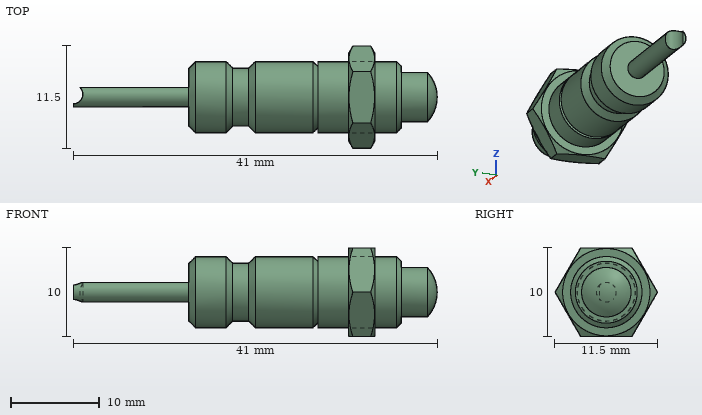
import cadquery as cq
import math

TOTAL_LENGTH = 41.0
HOUSING_START = 13.0
NECK_START = 17.2
NECK_END = 20.5
THREAD_START = 27.55
NUT_START = 31.0
HOUSING_END = 36.95
DOME_START = 39.9

HOUSING_RADIUS = 4.0
REAR_CHAMFER = 0.78
NECK_DEPTH = 0.75
V_GROOVE_WIDTH = 0.57
V_GROOVE_DEPTH = 0.55
FRONT_CHAMFER = 0.55
TIP_RADIUS = 2.8
DOME_HEIGHT = TOTAL_LENGTH - DOME_START

CABLE_RADIUS = 1.1
NOTCH_RADIUS = 1.05
NOTCH_OFFSET = 0.33

NUT_ACROSS_FLATS = 10.0
NUT_THICKNESS = 3.0
NUT_FACE_RADIUS = 4.9
NUT_CHAMFER_ANGLE = 30.0


def make_turned_body():
    """Housing, sensing tip and dome, revolved about the X axis."""
    rear_radius = HOUSING_RADIUS - REAR_CHAMFER
    neck_radius = HOUSING_RADIUS - NECK_DEPTH
    v_groove_start = THREAD_START - V_GROOVE_WIDTH
    v_groove_radius = HOUSING_RADIUS - V_GROOVE_DEPTH
    front_radius = HOUSING_RADIUS - FRONT_CHAMFER
    dome_sphere_radius = (TIP_RADIUS**2 + DOME_HEIGHT**2) / (2 * DOME_HEIGHT)
    dome_mid_angle = math.asin(TIP_RADIUS / dome_sphere_radius) / 2
    dome_mid = (
        TOTAL_LENGTH - dome_sphere_radius * (1 - math.cos(dome_mid_angle)),
        dome_sphere_radius * math.sin(dome_mid_angle),
    )
    profile = (
        cq.Workplane("XY")
        .moveTo(HOUSING_START, 0)
        .lineTo(HOUSING_START, rear_radius)
        .lineTo(HOUSING_START + REAR_CHAMFER, HOUSING_RADIUS)
        .lineTo(NECK_START, HOUSING_RADIUS)
        .lineTo(NECK_START + NECK_DEPTH, neck_radius)
        .lineTo(NECK_END - NECK_DEPTH, neck_radius)
        .lineTo(NECK_END, HOUSING_RADIUS)
        .lineTo(v_groove_start, HOUSING_RADIUS)
        .lineTo(THREAD_START, v_groove_radius)
        .lineTo(THREAD_START, HOUSING_RADIUS)
        .lineTo(HOUSING_END - FRONT_CHAMFER, HOUSING_RADIUS)
        .lineTo(HOUSING_END, front_radius)
        .lineTo(HOUSING_END, TIP_RADIUS)
        .lineTo(DOME_START, TIP_RADIUS)
        .threePointArc(dome_mid, (TOTAL_LENGTH, 0))
        .close()
    )
    return profile.revolve(360, (0, 0, 0), (1, 0, 0))


def make_cable():
    """Round cable whose free end is notched by a cylinder along Z."""
    cable = cq.Workplane("YZ").circle(CABLE_RADIUS).extrude(HOUSING_START)
    notch = (
        cq.Workplane("XY")
        .center(0, NOTCH_OFFSET)
        .circle(NOTCH_RADIUS)
        .extrude(CABLE_RADIUS, both=True)
    )
    return cable.cut(notch)


def make_sensor():
    return make_turned_body().union(make_cable())


def make_nut():
    """Hexagonal nut with two corners on the Y axis, chamfered at both ends."""
    corner_radius = NUT_ACROSS_FLATS / math.sqrt(3)
    chamfer_length = (corner_radius - NUT_FACE_RADIUS) * math.tan(math.radians(NUT_CHAMFER_ANGLE))
    nut_end = NUT_START + NUT_THICKNESS
    hexagon = (
        cq.Workplane("YZ", origin=(NUT_START, 0, 0))
        .polygon(6, 2 * corner_radius)
        .circle(HOUSING_RADIUS)
        .extrude(NUT_THICKNESS)
    )
    chamfer_envelope = (
        cq.Workplane("XY")
        .moveTo(NUT_START, 0)
        .lineTo(NUT_START, NUT_FACE_RADIUS)
        .lineTo(NUT_START + chamfer_length, corner_radius)
        .lineTo(nut_end - chamfer_length, corner_radius)
        .lineTo(nut_end, NUT_FACE_RADIUS)
        .lineTo(nut_end, 0)
        .close()
        .revolve(360, (0, 0, 0), (1, 0, 0))
    )
    return hexagon.intersect(chamfer_envelope)


sensor = make_sensor()
nut = make_nut()

result = cq.Compound.makeCompound([sensor.solids().val(), nut.solids().val()])